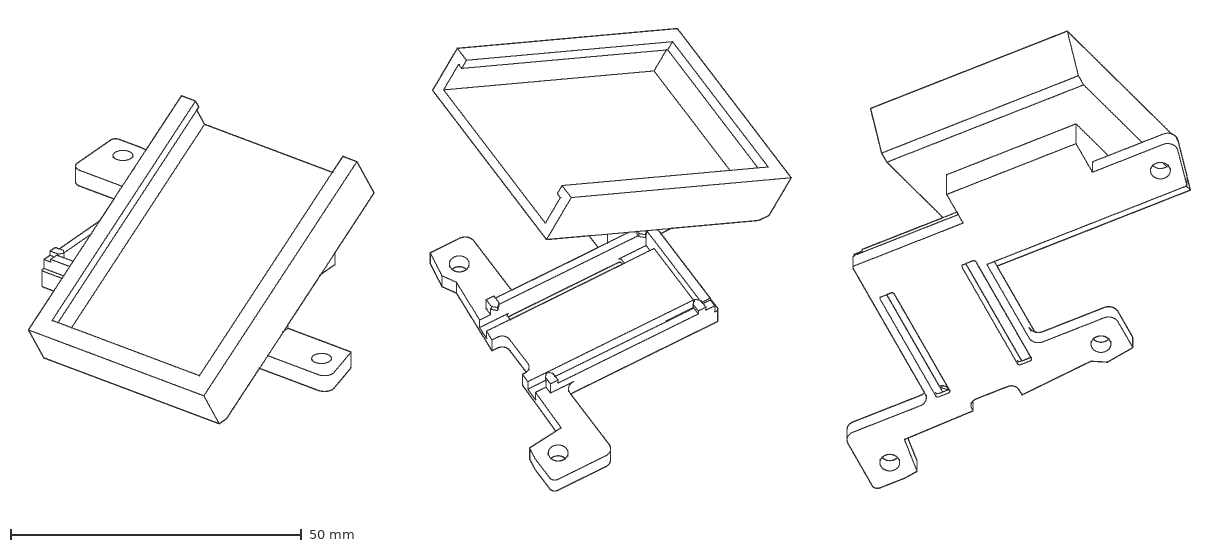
import cadquery as cq
import math

total_width = 77.5
plate_height = 3.2
hole_diameter = 3.4
hole_centers = [(4.8, 63.2), (48.2, 56.55), (72.9, 28.35)]

body_left = 16.4
body_right = 37.6
body_front = 23.6
body_center = (body_left + body_right) / 2
front_corner_radius = 0.5

left_tab_bottom = 54.8
left_tab_back = 67.25
left_tab_bend = 5.8
left_tab_shoulder = (8.3, 66.85)
left_tab_root = (9.15, 60.0)
upper_tab_bottom = 51.8
upper_tab_right = 52.8
upper_tab_back = 59.6
upper_tab_peak = (47.6, 60.4)
upper_tab_dip = (45.1, 59.0)
lower_tab_back = 33.15
lower_tab_slant = 2.25
tip_corner_radius = 1.8
tab_corner_radius = 1.8
back_corner_radius = 1.0

notch_left = 22.4
notch_right = 31.4
notch_bottom = 57.6
notch_back_left = 59.65
notch_back_right = 60.3
notch_radius = 1.5

rail_width = 1.5
rail_height = 4.95
rail_front = 24.5
rail_back = 57.6
stop_back = 26.3
stop_height = 5.5

clip_height = 5.8
clip_length = 1.55
clip_straight = 0.2
clip_reach = 1.0
clip_fronts = [stop_back, rail_back - clip_length]

channel_width = 2.6
channel_floor = 1.0
slot_front = 31.45
slot_back = 54.5
slot_corner_radius = 0.4

tilt = 30
total_height = 33.4
tray_left = 31.15
tray_width = 37.5
tray_length = 51.3
tray_depth = 10.0
tray_wall = 3.0
tray_front_wall = 3.25
tray_floor = 2.0
lip_depth = 1.9
undercut = 1.0
tray_corner_y = tray_depth * math.sin(math.radians(tilt))
tray_corner_z = (total_height - tray_length * math.sin(math.radians(tilt))
                 - tray_depth * math.cos(math.radians(tilt)))

post_front = 17.05
post_left = body_right
post_right = 2 * tray_left + tray_width - post_left


def block(x0, x1, y0, y1, z0, z1):
    """Box given by its limits along X, Y and Z."""
    return cq.Workplane("XY").box(x1 - x0, y1 - y0, z1 - z0, centered=False).translate((x0, y0, z0))


def fillet_corner(solid, x, y, radius):
    """Round the vertical edge that stands at (x, y)."""
    reach = 0.04
    picker = cq.selectors.BoxSelector((x - reach, y - reach, -reach),
                                      (x + reach, y + reach, plate_height + reach))
    return solid.edges("|Z").edges(picker).fillet(radius)


def both_sides(left_solid):
    """The solid together with its mirror image across the body's centre."""
    mirrored = left_solid.mirror("YZ", (body_center, 0, 0))
    return left_solid.union(mirrored)


def make_plate():
    tip_angle = math.atan2(lower_tab_back - body_front, lower_tab_slant)
    tip_corner_x = total_width + tip_corner_radius * (1 / math.tan(tip_angle / 2) - 1)
    outline = [
        (body_left, body_front),
        (tip_corner_x, body_front),
        (tip_corner_x - lower_tab_slant, lower_tab_back),
        (body_right, lower_tab_back),
        (body_right, upper_tab_bottom),
        (upper_tab_right, upper_tab_bottom),
        (upper_tab_right, upper_tab_back),
        upper_tab_peak,
        upper_tab_dip,
        (notch_right, notch_back_right),
        (notch_right, notch_bottom),
        (notch_left, notch_bottom),
        (notch_left, notch_back_left),
        left_tab_root,
        left_tab_shoulder,
        (left_tab_bend, left_tab_back),
        (0, left_tab_back),
        (0, left_tab_bottom),
        (body_left, left_tab_bottom),
    ]
    rounded_corners = [
        (body_left, body_front, front_corner_radius),
        (tip_corner_x, body_front, tip_corner_radius),
        (body_right, upper_tab_bottom, tab_corner_radius),
        (upper_tab_right, upper_tab_bottom, tab_corner_radius),
        (notch_right, notch_bottom, notch_radius),
        (notch_left, notch_bottom, notch_radius),
        (0, left_tab_back, back_corner_radius),
        (0, left_tab_bottom, tab_corner_radius),
        (body_left, left_tab_bottom, tab_corner_radius),
    ]
    plate = cq.Workplane("XY").polyline(outline).close().extrude(plate_height)
    for x, y, radius in rounded_corners:
        plate = fillet_corner(plate, x, y, radius)
    holes = cq.Workplane("XY").pushPoints(hole_centers).circle(hole_diameter / 2).extrude(plate_height)
    return plate.cut(holes)


def make_channels():
    left = body_left + rail_width
    right = left + channel_width
    channel = block(left, right, stop_back, left_tab_back, channel_floor, plate_height)
    slot = block(left, right, slot_front, slot_back, 0, plate_height).edges("|Z").fillet(slot_corner_radius)
    return both_sides(channel.union(slot))


def make_rails():
    rail_inner = body_left + rail_width
    rails = both_sides(block(body_left, rail_inner, rail_front, rail_back, 0, rail_height))
    stop = block(rail_inner, body_right - rail_width, rail_front, stop_back, 0, stop_height)
    return rails.union(stop)


def make_clips():
    shoulder = body_left + rail_width + clip_straight
    tip = body_left + rail_width + clip_reach
    clips = cq.Workplane("XY")
    for front in clip_fronts:
        clip = (
            cq.Workplane("XY", origin=(0, front, rail_height))
            .polyline([(body_left, 0), (shoulder, 0), (tip, clip_length / 2),
                       (shoulder, clip_length), (body_left, clip_length)])
            .close()
            .extrude(clip_height - rail_height)
        )
        clips = clips.add(both_sides(clip))
    return clips.combine()


def make_tray():
    """Tray open at its high end, with an undercut lip around the pocket, cut flat at the base."""
    tray = block(0, tray_width, 0, tray_length, 0, tray_depth)
    pocket = block(tray_wall, tray_width - tray_wall, tray_front_wall, tray_length, tray_floor, tray_depth)
    groove_wall = tray_wall - undercut
    groove = block(groove_wall, tray_width - groove_wall, tray_front_wall - undercut, tray_length,
                   tray_floor, tray_depth - lip_depth)
    tray = tray.cut(pocket).cut(groove)
    tray = tray.rotate((0, 0, 0), (1, 0, 0), tilt).translate((tray_left, tray_corner_y, tray_corner_z))
    return tray.intersect(block(0, total_width, 0, left_tab_back, 0, total_height))


def make_post():
    def underside(y):
        return tray_corner_z + (y - tray_corner_y) * math.tan(math.radians(tilt))

    profile = [(post_front, 0), (lower_tab_back, 0),
               (lower_tab_back, underside(lower_tab_back)), (post_front, underside(post_front))]
    return (
        cq.Workplane("YZ", origin=(post_left, 0, 0))
        .polyline(profile)
        .close()
        .extrude(post_right - post_left)
    )


bracket = make_plate().cut(make_channels()).union(make_rails()).union(make_clips())
result = bracket.union(make_post()).union(make_tray())